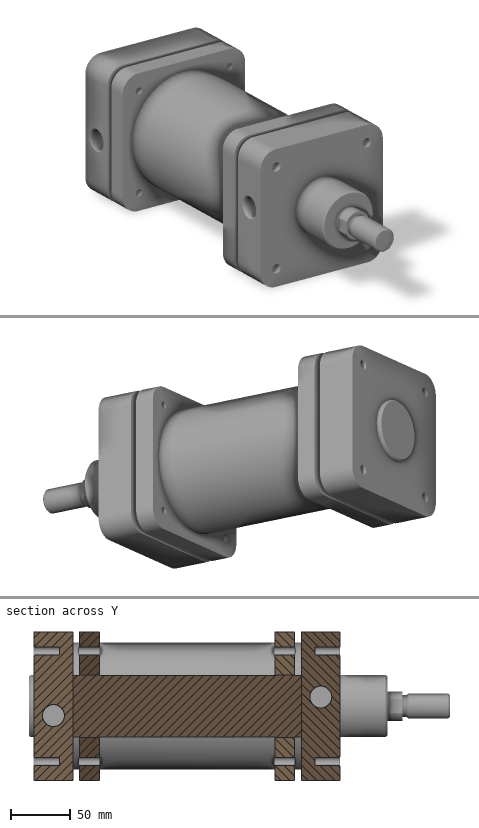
import cadquery as cq

total_length = 356.0
cap_boss_length = 4.0
cover_thickness = 33.0
flange_gap = 5.5
flange_thickness = 17.0
head_boss_length = 40.0
head_face_x = 263.0

cap_start_x = cap_boss_length
cap_end_x = cap_start_x + cover_thickness
cap_flange_x = cap_end_x + flange_gap
head_start_x = head_face_x - cover_thickness
head_flange_x = head_start_x - flange_gap - flange_thickness
head_boss_end_x = head_face_x + head_boss_length

plate_side = 126.0
plate_corner_radius = 15.5

boss_diameter = 52.7
boss_chamfer = 1.5
barrel_diameter = 107.0

mount_spacing = 93.3
mount_diameter = 6.5
mount_chamfer = 1.0
cover_mount_depth = 21.5

port_diameter = 18.0
port_chamfer = 1.25
port_depth = 17.8
port_offset_z = 8.0

rod_diameter = 25.0
rod_collar_length = 1.5
rod_shoulder_x = 315.8
wrench_flat_width = 22.0
neck_diameter = 18.5
neck_length = 3.5
thread_diameter = 21.0
thread_chamfer = 1.5


def cylinder_x(diameter, start_x, end_x):
    """Solid cylinder on the X axis between two positions."""
    return cq.Workplane("YZ", origin=(start_x, 0, 0)).circle(diameter / 2).extrude(end_x - start_x)


def rounded_plate(start_x, thickness):
    """Square plate across the X axis with rounded corners."""
    plate = cq.Workplane("YZ", origin=(start_x, 0, 0)).rect(plate_side, plate_side).extrude(thickness)
    return plate.edges("|X").fillet(plate_corner_radius)


def chamfered_hole(diameter, chamfer, depth):
    """Blind hole cutter along +X with its chamfered mouth at the origin."""
    radius = diameter / 2
    profile = [(0, 0), (0, radius + chamfer), (chamfer, radius), (depth, radius), (depth, 0)]
    return cq.Workplane("XY").polyline(profile).close().revolve(360, (0, 0), (1, 0))


def corner_points():
    """Y and Z of the four mounting holes."""
    half = mount_spacing / 2
    return [(y, z) for y in (-half, half) for z in (-half, half)]


def cut_port(cover, center_x, center_z):
    """Cut a blind air port into the -Y side of a cover."""
    port = chamfered_hole(port_diameter, port_chamfer, port_depth).rotate((0, 0, 0), (0, 0, 1), 90)
    return cover.cut(port.translate((center_x, -plate_side / 2, center_z)))


def cut_mounting_holes(cover, face_x, turn):
    """Cut the corner holes from a cover's outer face; a turn of 180 degrees makes them run in -X."""
    hole = chamfered_hole(mount_diameter, mount_chamfer, cover_mount_depth).rotate((0, 0, 0), (0, 0, 1), turn)
    for y, z in corner_points():
        cover = cover.cut(hole.translate((face_x, y, z)))
    return cover


def make_cap():
    """Rear cover with its short boss, port and mounting holes."""
    boss = cylinder_x(boss_diameter, 0, cap_start_x).faces("<X").chamfer(boss_chamfer)
    cap = rounded_plate(cap_start_x, cover_thickness).union(boss)
    cap = cut_port(cap, cap_start_x + cover_thickness / 2, -port_offset_z)
    return cut_mounting_holes(cap, cap_start_x, 0)


def make_head():
    """Front cover with its long boss, port, mounting holes and a bore for the rod."""
    boss = cylinder_x(boss_diameter, head_face_x, head_boss_end_x).faces(">X").chamfer(boss_chamfer)
    head = rounded_plate(head_start_x, cover_thickness).union(boss)
    head = cut_port(head, head_start_x + cover_thickness / 2, port_offset_z)
    head = cut_mounting_holes(head, head_face_x, 180)
    return head.cut(cylinder_x(rod_diameter, head_start_x, head_boss_end_x))


def make_flange(start_x):
    """Square flange around the barrel with four through holes."""
    flange = rounded_plate(start_x, flange_thickness)
    flange = flange.cut(cylinder_x(barrel_diameter, start_x, start_x + flange_thickness))
    holes = cq.Workplane("YZ", origin=(start_x, 0, 0)).pushPoints(corner_points()).circle(mount_diameter / 2)
    return flange.cut(holes.extrude(flange_thickness))


def make_rod():
    """Piston rod with two wrench flats, an undercut neck and a threaded end."""
    flats_x = head_boss_end_x + rod_collar_length
    neck_end_x = rod_shoulder_x + neck_length
    rod = cylinder_x(rod_diameter, head_start_x, flats_x)
    flats_length = rod_shoulder_x - flats_x
    flats_plane = cq.Workplane("YZ", origin=(flats_x, 0, 0))
    slab = flats_plane.rect(wrench_flat_width, rod_diameter).extrude(flats_length)
    rod = rod.union(cylinder_x(rod_diameter, flats_x, rod_shoulder_x).intersect(slab))
    thread = cylinder_x(thread_diameter, neck_end_x, total_length).faces("<X or >X").chamfer(thread_chamfer)
    return rod.union(cylinder_x(neck_diameter, rod_shoulder_x, neck_end_x)).union(thread)


cap = make_cap()
head = make_head()
flanges = [make_flange(start_x) for start_x in (cap_flange_x, head_flange_x)]
barrel = cylinder_x(barrel_diameter, cap_end_x, head_start_x)
rod = make_rod()

result = cq.Compound.makeCompound(
    [cap.val(), head.val(), *[flange.val() for flange in flanges], barrel.val(), rod.val()]
)